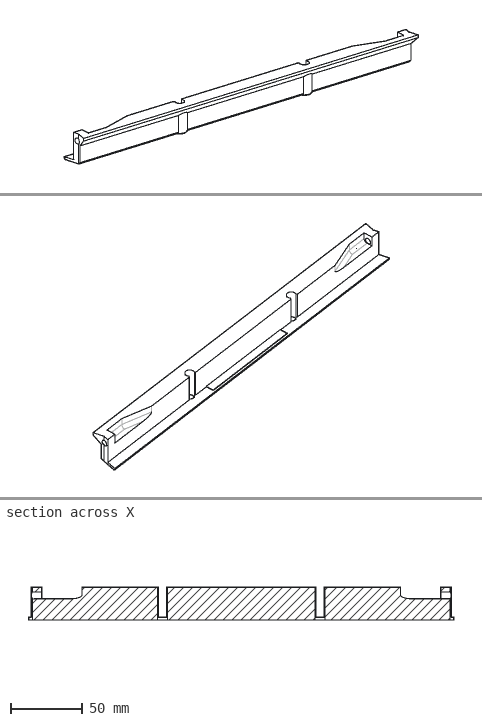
import cadquery as cq
import math

length = 298.0
width = 21.0
height = 23.0

plate_thickness = 2.0
web_front = 8.0
web_back = 14.5
flange_chamfer = 1.0
web_chamfer = 1.8
lip_underside = height - plate_thickness

notch_apex_x = 12.5
notch_depth = 3.0

screw_y = 55.0
screw_x = 10.7
screw_diameter = 7.0
mouth_flare = 1.0
boss_diameter = screw_diameter + 2 * plate_thickness
boss_chamfer = 1.0

pocket_floor = 15.0
pocket_back = 15.2
pocket_outer_y = 139.5
pocket_corner_y = 123.5
pocket_inner_y = 99.5
pocket_floor_radius = 2.7
pocket_overrun = 6.0

end_hole_diameter = 4.5
end_hole_x = 11.5
end_hole_z = 17.3

pad_length = 80.5
pad_front = 1.8
pad_height = 0.45


def make_profile():
    """Bar with a constant section; the underside of the lip slopes at 45 degrees."""
    slope_bottom = lip_underside - (width - web_back)
    outline = [
        (flange_chamfer, 0),
        (web_back - web_chamfer, 0),
        (web_back, web_chamfer),
        (web_back, slope_bottom),
        (width, lip_underside),
        (width, height),
        (web_front, height),
        (web_front, plate_thickness),
        (0, plate_thickness),
        (0, flange_chamfer),
    ]
    return cq.Workplane("XZ").polyline(outline).close().extrude(length / 2, both=True)


def make_boss():
    """Round boss at +Y, kept only behind the front face of the web."""
    cylinder = (
        cq.Workplane("XY")
        .center(screw_x, screw_y)
        .circle(boss_diameter / 2)
        .extrude(lip_underside)
        .faces("<Z")
        .chamfer(boss_chamfer)
    )
    behind_web_front = cq.Workplane("XY", origin=(web_front, 0, 0)).box(
        width, length, height, centered=(False, True, False)
    )
    return cylinder.intersect(behind_web_front)


def make_pad():
    return cq.Workplane("XY", origin=(pad_front, 0, plate_thickness)).box(
        web_front - pad_front, pad_length, pad_height, centered=(False, True, False)
    )


def make_screw_slot():
    """Round through hole at +Y, breaking out of the web through a flared mouth."""
    radius = screw_diameter / 2
    hole = cq.Workplane("XY").center(screw_x, screw_y).circle(radius).extrude(height)
    throat_x = web_front + mouth_flare
    half_throat = math.sqrt(radius**2 - (screw_x - throat_x) ** 2)
    outline = [
        (web_front, screw_y - radius),
        (web_front, screw_y + radius),
        (throat_x, screw_y + half_throat),
        (throat_x, screw_y - half_throat),
    ]
    mouth = (
        cq.Workplane("XY", origin=(0, 0, plate_thickness))
        .polyline(outline)
        .close()
        .extrude(height - plate_thickness)
    )
    return hole.union(mouth)


def make_pocket():
    """Pocket at the +Y end: a straight back wall, then a wall tapering out to the web face."""
    run_per_depth = (pocket_corner_y - pocket_inner_y) / (pocket_back - web_front)
    outside_x = web_front - pocket_overrun
    outline = [
        (outside_x, pocket_outer_y),
        (pocket_back, pocket_outer_y),
        (pocket_back, pocket_corner_y),
        (outside_x, pocket_inner_y - pocket_overrun * run_per_depth),
    ]
    pocket = (
        cq.Workplane("XY", origin=(0, 0, pocket_floor))
        .polyline(outline)
        .close()
        .extrude(height - pocket_floor)
    )
    return pocket.faces("<Z").edges(">X or <Y").fillet(pocket_floor_radius)


def make_end_hole():
    """Hole from inside the +Y pocket out through the end face."""
    return (
        cq.Workplane("XZ", origin=(end_hole_x, length / 2, end_hole_z))
        .circle(end_hole_diameter / 2)
        .extrude(length / 2 - pocket_outer_y)
    )


def make_end_notch():
    """V removed from the +Y end, with equal slopes on both sides of its apex."""
    slope = notch_depth / notch_apex_x
    end = length / 2
    apex_y = end - notch_depth
    outline = [
        (0, end),
        (notch_apex_x, apex_y),
        (width, apex_y + slope * (width - notch_apex_x)),
        (width, end),
    ]
    return cq.Workplane("XY").polyline(outline).close().extrude(height)


bar = make_profile().union(make_pad())

boss = make_boss()
bar = bar.union(boss).union(boss.mirror("XZ"))
for cutter in (make_screw_slot(), make_pocket(), make_end_hole(), make_end_notch()):
    bar = bar.cut(cutter).cut(cutter.mirror("XZ"))

result = bar